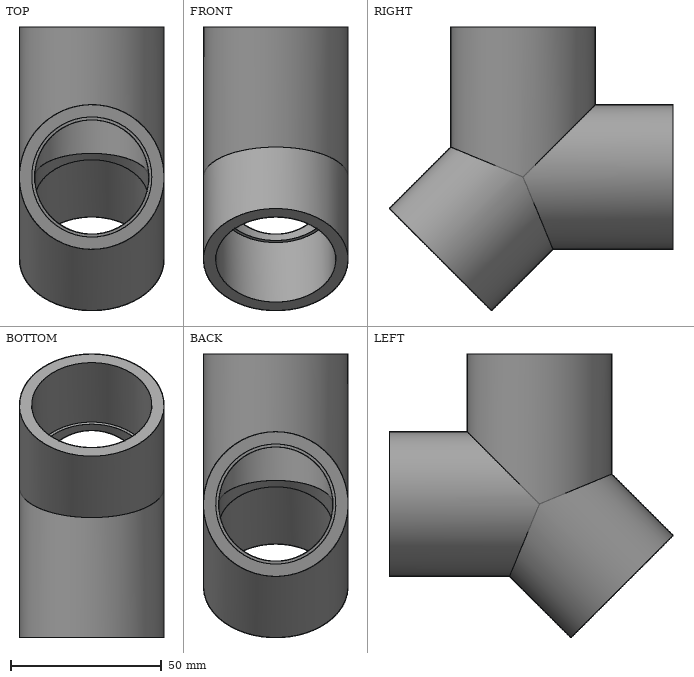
import cadquery as cq

outer_diameter = 48.2
socket_diameter = 40.0
waterway_diameter = 38.0
socket_depth = 28.0
main_leg_length = 50.0
branch_length = 38.9

legs = [
    (cq.Vector(0, 0, 1), main_leg_length),
    (cq.Vector(0, 1, 0), main_leg_length),
    (cq.Vector(0, -1, -1).normalized(), branch_length),
]


def leg_cylinder(direction, diameter, start, end):
    """Cylinder along a leg axis, between two distances from the axis crossing."""
    return cq.Workplane(
        cq.Solid.makeCylinder(diameter / 2, end - start, direction * start, direction)
    )


def union_of(cylinders):
    """Fuse a list of cylinders into one body."""
    body = cylinders[0]
    for cylinder in cylinders[1:]:
        body = body.union(cylinder)
    return body


body = union_of([leg_cylinder(axis, outer_diameter, 0, length) for axis, length in legs])
waterway = union_of([leg_cylinder(axis, waterway_diameter, 0, length) for axis, length in legs])
result = body.cut(waterway)

for axis, length in legs:
    result = result.cut(leg_cylinder(axis, socket_diameter, length - socket_depth, length))